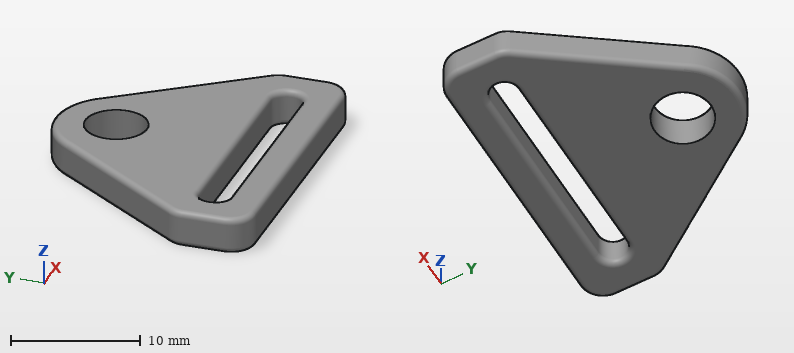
import cadquery as cq
import math

width = 25.0
height = 20.0
thickness = 3.0
edge_radius = 0.5

corner_radius = 2.0
upper_corner_height = 5.38
slope_end_height = 17.58

hole_height = 15.0
hole_diameter = 5.0
top_radius = height - hole_height

slot_height = 4.0
slot_length = 19.5
slot_width = 2.5

half_width = width / 2
corner_x = half_width - corner_radius
slope_end_x = math.sqrt(top_radius**2 - (slope_end_height - hole_height) ** 2)


def on_corner(angle):
    """Point on the upper right corner arc."""
    return (
        corner_x + corner_radius * math.cos(angle),
        upper_corner_height + corner_radius * math.sin(angle),
    )


def slope_angle():
    """Angle of the sloping side's outward normal, tangent to the corner and ending at the top arc."""
    rise = slope_end_height - upper_corner_height
    run = slope_end_x - corner_x
    return math.atan2(rise, run) - math.acos(corner_radius / math.hypot(run, rise))


def mirrored(point):
    return -point[0], point[1]


def make_plate():
    slope_start = on_corner(slope_angle())
    corner_middle = on_corner(slope_angle() / 2)
    slope_end = (slope_end_x, slope_end_height)
    outline = (
        cq.Workplane("XY")
        .moveTo(-half_width, 0)
        .lineTo(half_width, 0)
        .lineTo(half_width, upper_corner_height)
        .threePointArc(corner_middle, slope_start)
        .lineTo(*slope_end)
        .threePointArc((0, height), mirrored(slope_end))
        .lineTo(*mirrored(slope_start))
        .threePointArc(mirrored(corner_middle), (-half_width, upper_corner_height))
        .close()
    )
    plate = outline.extrude(thickness)
    return plate.edges("|Z and <Y").fillet(corner_radius)


def cut_slot(plate):
    return (
        plate.faces(">Z")
        .workplane(origin=(0, slot_height, thickness))
        .slot2D(slot_length, slot_width)
        .cutThruAll()
    )


def cut_hole(plate):
    return (
        plate.faces(">Z")
        .workplane(origin=(0, hole_height, thickness))
        .hole(hole_diameter)
    )


rounded = cut_slot(make_plate()).faces("<Z or >Z").edges().fillet(edge_radius)
result = cut_hole(rounded)